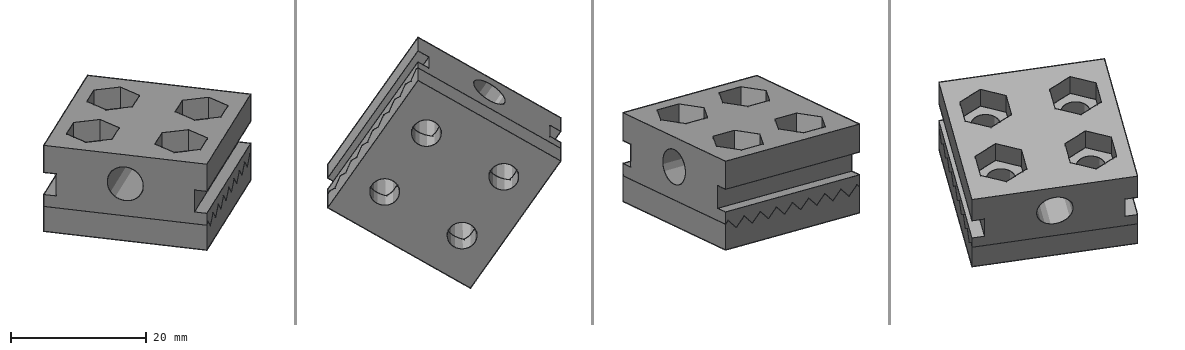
import cadquery as cq

SIDE = 25.0
HEIGHT = 14.1

TOOTH_PITCH = 3.0
TOOTH_HEIGHT = TOOTH_PITCH / 2
CREST_Z = 4.6
ROOT_Z = CREST_Z - TOOTH_HEIGHT
TEETH_PER_SIDE = 4

SLOT_DEPTH = 1.9
SLOT_HEIGHT = 3.6
SLOT_TOP_Z = HEIGHT - 4.45

BORE_DIAMETER = 5.5
BORE_Z = HEIGHT - 4.75

SCREW_SPACING_X = 13.55
SCREW_SPACING_Y = 11.55
SCREW_DIAMETER = 4.4
NUT_ACROSS_FLATS = 7.0
NUT_POCKET_DEPTH = 3.5
HEXAGON_SIDES = 6


def toothed_base():
    """Solid below the saw-tooth joint, spanning the whole block."""
    half_side = SIDE / 2
    last_crest_y = TEETH_PER_SIDE * TOOTH_PITCH
    edge_z = CREST_Z - (half_side - last_crest_y)

    joint = [(-half_side, edge_z), (-last_crest_y, CREST_Z)]
    for tooth in range(-TEETH_PER_SIDE, TEETH_PER_SIDE):
        crest_y = tooth * TOOTH_PITCH
        joint.append((crest_y + TOOTH_PITCH / 2, ROOT_Z))
        joint.append((crest_y + TOOTH_PITCH, CREST_Z))
    joint.append((half_side, edge_z))

    outline = [(-half_side, 0), *joint, (half_side, 0)]
    return cq.Workplane("YZ").polyline(outline).close().extrude(half_side, both=True)


def at_screws(z):
    """Workplane at height z with one point on each screw axis."""
    return cq.Workplane("XY", origin=(0, 0, z)).rarray(SCREW_SPACING_X, SCREW_SPACING_Y, 2, 2)


def screw_holes():
    return at_screws(0).circle(SCREW_DIAMETER / 2).extrude(HEIGHT)


def nut_pockets():
    """Hexagonal prisms open at the top, with two flats facing along X."""
    hexagon = cq.Sketch().regularPolygon(NUT_ACROSS_FLATS / 3**0.5, HEXAGON_SIDES)
    return at_screws(HEIGHT - NUT_POCKET_DEPTH).placeSketch(hexagon).extrude(NUT_POCKET_DEPTH)


def side_slots():
    slot_z = SLOT_TOP_Z - SLOT_HEIGHT / 2
    slots = cq.Workplane("XY", origin=(0, 0, slot_z)).rarray(SIDE, 0.25, 2, 1)
    return slots.box(2 * SLOT_DEPTH, SIDE, SLOT_HEIGHT)


def bore():
    plane = cq.Workplane("XZ", origin=(0, 0, BORE_Z))
    return plane.circle(BORE_DIAMETER / 2).extrude(SIDE / 2, both=True)


def make_lower_plate():
    return toothed_base().cut(screw_holes())


def make_upper_block():
    block = cq.Workplane("XY").box(SIDE, SIDE, HEIGHT, centered=(True, True, False))
    block = block.cut(toothed_base())
    block = block.cut(side_slots())
    block = block.cut(bore())
    block = block.cut(screw_holes())
    return block.cut(nut_pockets())


lower_plate = make_lower_plate()
upper_block = make_upper_block()

result = cq.Compound.makeCompound([lower_plate.val(), upper_block.val()])